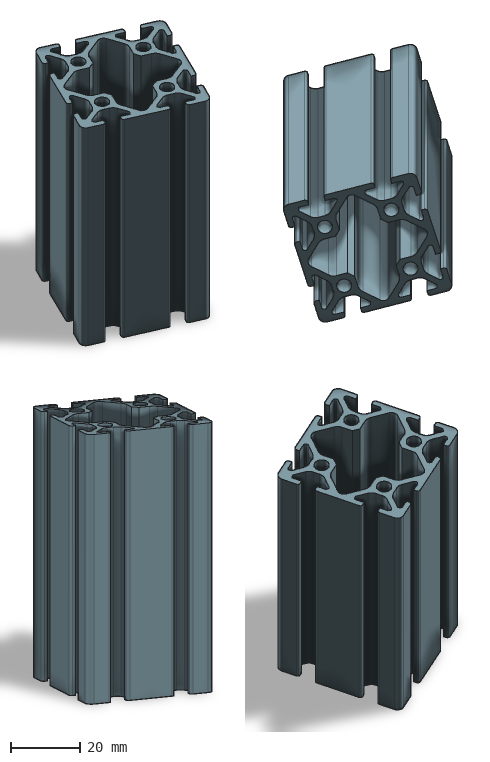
import cadquery as cq
import math

side = 40.0
length = 80.0
half_side = side / 2
corner_radius = 2.0

core_offset = side / 4
core_hole_diameter = 4.3
core_inner_wall = 3.8
core_chamfer = 1.7
web_thickness = 1.8

slot_opening = 5.0
slot_depth = 6.5
lip_thickness = 1.8
lip_edge_radius = 0.8
slot_pocket_radius = 0.8
slot_floor_radius = 3.0

cavity_tip_radius = 1.9
cavity_side_radius = 3.0

web_reach = web_thickness / 2 * math.sqrt(2)


def fillet_at(body, points, radius):
    """Round the vertical edges of a prism that pass through the given points."""
    reach = 0.01
    for x, y in points:
        selector = cq.selectors.BoxSelector(
            (x - reach, y - reach, 0), (x + reach, y + reach, length)
        )
        body = body.edges("|Z").edges(selector).fillet(radius)
    return body


def make_slot():
    """T-slot cutter opening on the +Y face, centred on X = 0."""
    half_opening = slot_opening / 2
    lip_y = half_side - lip_thickness
    floor_y = half_side - slot_depth
    web_line = core_offset - web_reach
    pocket_half = web_line - lip_thickness
    floor_half = web_line - slot_depth
    pocket = cq.Workplane("XY").polyline([
        (-pocket_half, lip_y),
        (pocket_half, lip_y),
        (floor_half, floor_y),
        (-floor_half, floor_y),
    ]).close().extrude(length)
    pocket = fillet_at(pocket, [(-pocket_half, lip_y), (pocket_half, lip_y)], slot_pocket_radius)
    pocket = fillet_at(pocket, [(-floor_half, floor_y), (floor_half, floor_y)], slot_floor_radius)
    mouth = cq.Workplane("XY").rect(slot_opening, 2 * lip_thickness).extrude(length)
    mouth = mouth.translate((0, half_side, 0))
    return pocket.union(mouth)


def make_cavity():
    """Central cavity: a diamond between the webs, notched by the four cores."""
    tip = 2 * core_offset - web_reach
    wall = core_offset - core_inner_wall
    bend = tip - wall
    quadrant = [
        (tip, 0),
        (bend, wall),
        (wall + core_chamfer, wall),
        (wall, wall + core_chamfer),
        (wall, bend),
    ]
    outline = list(quadrant)
    tips = [(tip, 0)]
    bends = [(bend, wall), (wall, bend)]
    for _ in range(3):
        quadrant = [(-y, x) for x, y in quadrant]
        outline += quadrant
        tips.append(quadrant[0])
        bends += [quadrant[1], quadrant[4]]
    cavity = cq.Workplane("XY").polyline(outline).close().extrude(length)
    cavity = fillet_at(cavity, tips, cavity_tip_radius)
    return fillet_at(cavity, bends, cavity_side_radius)


result = cq.Workplane("XY").rect(side, side).extrude(length)
result = result.edges("|Z").fillet(corner_radius)

slot = make_slot()
for turn in range(4):
    angle = 90 * turn
    for x in (-core_offset, core_offset):
        result = result.cut(slot.translate((x, 0, 0)).rotate((0, 0, 0), (0, 0, 1), angle))

lip_edges = []
for centre in (-core_offset, core_offset):
    for edge in (centre - slot_opening / 2, centre + slot_opening / 2):
        for face in (-half_side, half_side):
            lip_edges += [(edge, face), (face, edge)]
result = fillet_at(result, lip_edges, lip_edge_radius)

result = result.cut(make_cavity())
core_holes = (
    cq.Workplane("XY")
    .rect(2 * core_offset, 2 * core_offset, forConstruction=True)
    .vertices()
    .circle(core_hole_diameter / 2)
    .extrude(length)
)
result = result.cut(core_holes)